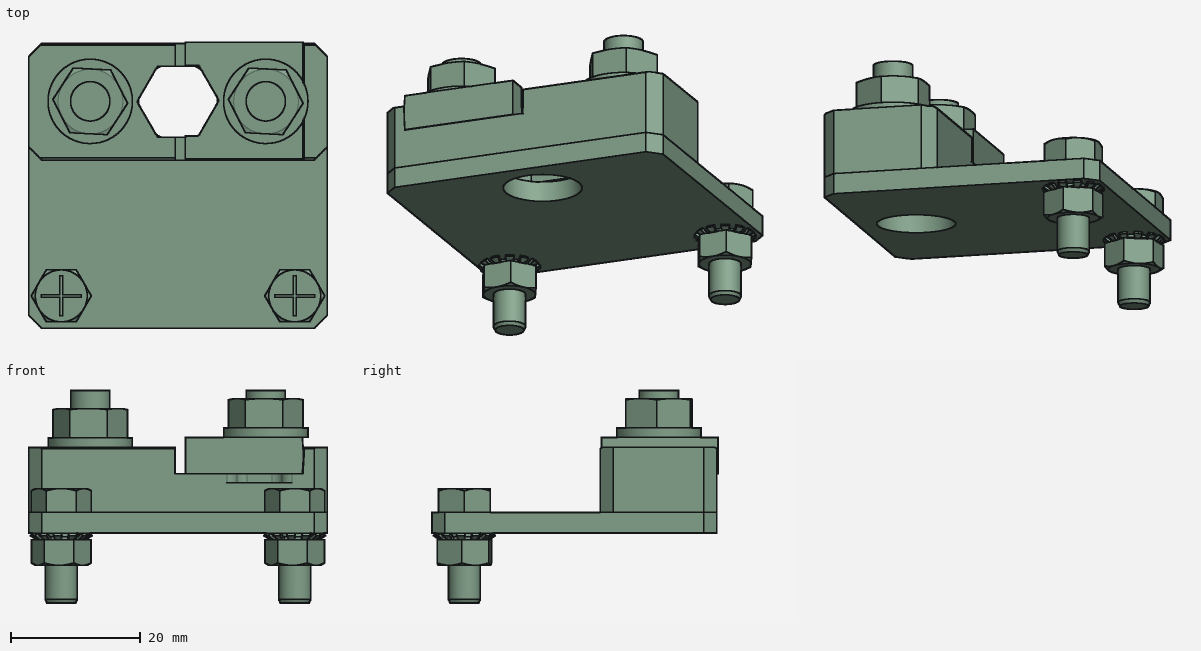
import cadquery as cq
import math

HEX_CORNER_RATIO = 1 / math.cos(math.radians(30))

WIDTH = 46.0
PLATE_DEPTH = 43.95
PLATE_THICKNESS = 3.17
CORNER_CUT = 2.02

JAW_DEPTH = 18.0
BLOCK_FRONT = PLATE_DEPTH - JAW_DEPTH
BLOCK_TOP = 13.2
STEP_Z = 9.15
STEP_LEFT = 22.55
STEP_RIGHT_LOW = 42.25
STEP_RIGHT_HIGH = 42.45
EDGE_CUT_Y = 0.3
EDGE_CUT_Z = 0.2

SLIDER_LEFT = 24.15
SLIDER_RIGHT = 42.2
SLIDER_THICKNESS = 5.55
SLIDER_TOP = STEP_Z + SLIDER_THICKNESS
SLIDER_BULGE = 0.15
SLIDER_SHIFT = 0.2

OPENING_FLATS = 10.9
OPENING_X = WIDTH / 2
STRETCH = 1.05
STRETCH_WALL_ANGLE = math.radians(55)
PLATE_HOLE_DIAMETER = 12.15
OPENING_Y = BLOCK_FRONT + JAW_DEPTH / 2

NOTCH_X = 35.5
NOTCH_HALF_BACK = 1.95
NOTCH_RADIUS = 1.7
NOTCH_TURN = math.radians(65)
NOTCH_DEPTH_Z = 1.4

STUD_DIAMETER = 6.05
STUD_TOP = 22.0
STUD_INSET = 9.48
STUD_SHIFT = 0.05
STUD_Y = OPENING_Y + STUD_SHIFT
STUD_XS = (STUD_INSET, WIDTH - STUD_INSET)
STUD_SEATS = (BLOCK_TOP, SLIDER_TOP)
FLANGE_DIAMETER = 13.0
FLANGE_THICKNESS = 1.45
STUD_NUT_FLATS = 10.0
STUD_NUT_HEIGHT = 4.5
STUD_NUT_TURN = -3.0
STUD_NUT_BEVEL = 13.0

BOLT_INSET = 5.0
BOLT_XS = (BOLT_INSET, WIDTH - BOLT_INSET)
BOLT_DIAMETER = 4.95
BOLT_END = -10.8
BOLT_END_CUT_Z = 0.6
BOLT_END_CUT_R = 0.28
BOLT_FLATS = 8.0
BOLT_HEAD_HEIGHT = 3.7
BOLT_BEVEL = 30.0
CROSS_LENGTH = 6.15
CROSS_WIDTH = 0.4
CROSS_DEPTH = 0.4
BOLT_NUT_HEIGHT = 3.95
BOLT_NUT_TURN = -5.0
TOOTH_RING_HEIGHT = 1.0
TOOTH_RING_BASE_R = 3.75
TOOTH_RING_HUB_R = 3.05
TOOTH_RING_RIM_R = 4.8
TOOTH_RING_WALL = 0.4
TOOTH_COUNT = 12
TOOTH_GAP = 1.1
TOOTH_TURN = 8.0


def hexagon(flats, height, x=0.0, y=0.0):
    """Hexagonal prism with corners along X."""
    return cq.Workplane("XY", origin=(x, y, 0)).polygon(6, flats * HEX_CORNER_RATIO).extrude(height)


def beveled_hexagon(flats, height, bevel):
    """Hexagonal prism from Z = 0 whose upper corners are turned off by a cone."""
    flat_radius = flats / 2
    corner_radius = flat_radius * HEX_CORNER_RATIO
    drop = (corner_radius - flat_radius) * math.tan(math.radians(bevel))
    envelope = (
        cq.Workplane("XZ")
        .polyline([
            (0, 0),
            (corner_radius, 0),
            (corner_radius, height - drop),
            (flat_radius, height),
            (0, height),
        ])
        .close()
        .revolve(360, (0, 0), (0, 1))
    )
    return hexagon(flats, height).intersect(envelope)


def cylinder(diameter, bottom, top, x=0.0, y=0.0):
    return cq.Workplane("XY", origin=(x, y, bottom)).circle(diameter / 2).extrude(top - bottom)


def box(x_range, y_range, z_range):
    size = [end - start for start, end in (x_range, y_range, z_range)]
    corner = (x_range[0], y_range[0], z_range[0])
    return cq.Workplane("XY").box(*size, centered=False).translate(corner)


def make_plate():
    plate = box((0, WIDTH), (0, PLATE_DEPTH), (0, PLATE_THICKNESS)).edges("|Z").chamfer(CORNER_CUT)
    plate = plate.cut(cylinder(PLATE_HOLE_DIAMETER, 0, PLATE_THICKNESS, OPENING_X, OPENING_Y))
    for x in BOLT_XS:
        plate = plate.cut(cylinder(BOLT_DIAMETER, 0, PLATE_THICKNESS, x, BOLT_INSET))
    return plate


def step_notch():
    """Notch with a flat back; each side is an S of two tangent arcs that flares to the front."""
    arc_width = NOTCH_RADIUS * math.sin(NOTCH_TURN)
    arc_depth = NOTCH_RADIUS * (1 - math.cos(NOTCH_TURN))
    half_front = NOTCH_HALF_BACK + 2 * arc_width
    middle = (NOTCH_HALF_BACK + arc_width, arc_depth)
    back_y = 2 * arc_depth
    half_width = NOTCH_RADIUS * math.sin(NOTCH_TURN / 2)
    half_depth = NOTCH_RADIUS * (1 - math.cos(NOTCH_TURN / 2))
    lip = (half_front - half_width, half_depth)
    hollow = (NOTCH_HALF_BACK + half_width, back_y - half_depth)
    return (
        cq.Workplane("XY", origin=(NOTCH_X, BLOCK_FRONT, STEP_Z - NOTCH_DEPTH_Z))
        .moveTo(-half_front, 0)
        .lineTo(half_front, 0)
        .threePointArc(lip, middle)
        .threePointArc(hollow, (NOTCH_HALF_BACK, back_y))
        .lineTo(-NOTCH_HALF_BACK, back_y)
        .threePointArc((-hollow[0], hollow[1]), (-middle[0], middle[1]))
        .threePointArc((-lip[0], lip[1]), (-half_front, 0))
        .close()
        .extrude(NOTCH_DEPTH_Z)
    )


def long_edge_cuts():
    """Sloped cuts along the front and back top edges of the block."""
    back = PLATE_DEPTH
    low = BLOCK_TOP - EDGE_CUT_Z
    front_cut = [(BLOCK_FRONT, low), (BLOCK_FRONT, BLOCK_TOP), (BLOCK_FRONT + EDGE_CUT_Y, BLOCK_TOP)]
    back_cut = [(back, low), (back, BLOCK_TOP), (back - EDGE_CUT_Y, BLOCK_TOP)]
    cuts = cq.Workplane("YZ").polyline(front_cut).close().extrude(WIDTH)
    return cuts.add(cq.Workplane("YZ").polyline(back_cut).close().extrude(WIDTH)).combine()


def step_cut():
    """Room for the sliding jaw; its right wall leans slightly outward."""
    corners = [
        (STEP_LEFT, STEP_Z),
        (STEP_RIGHT_LOW, STEP_Z),
        (STEP_RIGHT_HIGH, BLOCK_TOP),
        (STEP_LEFT, BLOCK_TOP),
    ]
    return cq.Workplane("XZ", origin=(0, BLOCK_FRONT, 0)).polyline(corners).close().extrude(-JAW_DEPTH)


def stretched_opening():
    """Hexagonal opening of the block, drawn out to the right under the sliding jaw."""
    half_flats = OPENING_FLATS / 2
    corner_radius = half_flats * HEX_CORNER_RATIO
    shoulder = corner_radius / 2 + STRETCH
    tip = shoulder + half_flats / math.tan(STRETCH_WALL_ANGLE)
    corners = [
        (-corner_radius, 0),
        (-corner_radius / 2, -half_flats),
        (shoulder, -half_flats),
        (tip, 0),
        (shoulder, half_flats),
        (-corner_radius / 2, half_flats),
    ]
    return cq.Workplane("XY", origin=(OPENING_X, OPENING_Y, 0)).polyline(corners).close().extrude(BLOCK_TOP)


def make_block():
    block = box((0, WIDTH), (BLOCK_FRONT, PLATE_DEPTH), (PLATE_THICKNESS, BLOCK_TOP))
    block = block.edges("|Z").chamfer(CORNER_CUT)
    block = block.cut(long_edge_cuts())
    block = block.cut(step_cut())
    block = block.cut(stretched_opening())
    block = block.cut(step_notch())
    for x in STUD_XS:
        block = block.union(cylinder(STUD_DIAMETER, PLATE_THICKNESS, STUD_TOP, x, STUD_Y))
    return block


def make_slider():
    """Slab on the step whose right end is slightly convex over its height."""
    middle_z = STEP_Z + SLIDER_THICKNESS / 2
    slider = (
        cq.Workplane("XZ", origin=(0, BLOCK_FRONT + SLIDER_SHIFT, 0))
        .moveTo(SLIDER_LEFT, STEP_Z)
        .lineTo(SLIDER_RIGHT, STEP_Z)
        .threePointArc((SLIDER_RIGHT + SLIDER_BULGE, middle_z), (SLIDER_RIGHT, SLIDER_TOP))
        .lineTo(SLIDER_LEFT, SLIDER_TOP)
        .close()
        .extrude(-JAW_DEPTH)
    )
    slider = slider.cut(hexagon(OPENING_FLATS, SLIDER_TOP, OPENING_X, OPENING_Y + SLIDER_SHIFT))
    return slider.cut(cylinder(STUD_DIAMETER, STEP_Z, SLIDER_TOP, STUD_XS[1], STUD_Y))


def make_flange_nut(x, seat):
    nut = beveled_hexagon(STUD_NUT_FLATS, STUD_NUT_HEIGHT, STUD_NUT_BEVEL)
    nut = nut.rotate((0, 0, 0), (0, 0, 1), STUD_NUT_TURN).translate((0, 0, FLANGE_THICKNESS))
    nut = nut.union(cylinder(FLANGE_DIAMETER, 0, FLANGE_THICKNESS))
    nut = nut.cut(cylinder(STUD_DIAMETER, 0, FLANGE_THICKNESS + STUD_NUT_HEIGHT))
    return nut.translate((x, STUD_Y, seat))


def make_bolt(x):
    radius = BOLT_DIAMETER / 2
    shank = (
        cq.Workplane("XZ")
        .polyline([
            (0, BOLT_END),
            (radius - BOLT_END_CUT_R, BOLT_END),
            (radius, BOLT_END + BOLT_END_CUT_Z),
            (radius, PLATE_THICKNESS),
            (0, PLATE_THICKNESS),
        ])
        .close()
        .revolve(360, (0, 0), (0, 1))
    )
    head = beveled_hexagon(BOLT_FLATS, BOLT_HEAD_HEIGHT, BOLT_BEVEL)
    slots = (
        cq.Workplane("XY", origin=(0, 0, BOLT_HEAD_HEIGHT - CROSS_DEPTH))
        .rect(CROSS_LENGTH, CROSS_WIDTH)
        .extrude(CROSS_DEPTH)
    )
    slots = slots.union(slots.rotate((0, 0, 0), (0, 0, 1), 90))
    head = head.cut(slots).translate((0, 0, PLATE_THICKNESS))
    return shank.union(head).translate((x, BOLT_INSET, 0))


def tooth_ring():
    """Hollow cone that widens up to the plate, split by slots into locking teeth."""
    base_z = -TOOTH_RING_HEIGHT
    ring = (
        cq.Workplane("XZ")
        .polyline([
            (BOLT_DIAMETER / 2, base_z),
            (TOOTH_RING_BASE_R, base_z),
            (TOOTH_RING_RIM_R, -TOOTH_RING_WALL),
            (TOOTH_RING_RIM_R - TOOTH_RING_WALL, 0),
            (TOOTH_RING_BASE_R - TOOTH_RING_WALL, base_z + TOOTH_RING_WALL),
            (BOLT_DIAMETER / 2, base_z + TOOTH_RING_WALL),
        ])
        .close()
        .revolve(360, (0, 0), (0, 1))
    )
    gap = box((TOOTH_RING_HUB_R, 2 * TOOTH_RING_RIM_R), (-TOOTH_GAP / 2, TOOTH_GAP / 2), (base_z, 0))
    for index in range(TOOTH_COUNT):
        ring = ring.cut(gap.rotate((0, 0, 0), (0, 0, 1), TOOTH_TURN + index * 360 / TOOTH_COUNT))
    return ring


def make_toothed_nut(x):
    """Hexagon nut, corners turned off at the bottom, with a toothed ring against the plate."""
    nut = beveled_hexagon(BOLT_FLATS, BOLT_NUT_HEIGHT, BOLT_BEVEL)
    nut = nut.rotate((0, 0, 0), (1, 0, 0), 180).rotate((0, 0, 0), (0, 0, 1), BOLT_NUT_TURN)
    nut = nut.translate((0, 0, -TOOTH_RING_HEIGHT)).union(tooth_ring())
    nut = nut.cut(cylinder(BOLT_DIAMETER, -TOOTH_RING_HEIGHT - BOLT_NUT_HEIGHT, 0))
    return nut.translate((x, BOLT_INSET, 0))


plate = make_plate()
block = make_block()
slider = make_slider()
flange_nuts = [make_flange_nut(x, seat) for x, seat in zip(STUD_XS, STUD_SEATS)]
bolts = [make_bolt(x) for x in BOLT_XS]
toothed_nuts = [make_toothed_nut(x) for x in BOLT_XS]

result = cq.Compound.makeCompound(
    [body.val() for body in (plate, block, slider, *flange_nuts, *bolts, *toothed_nuts)]
)